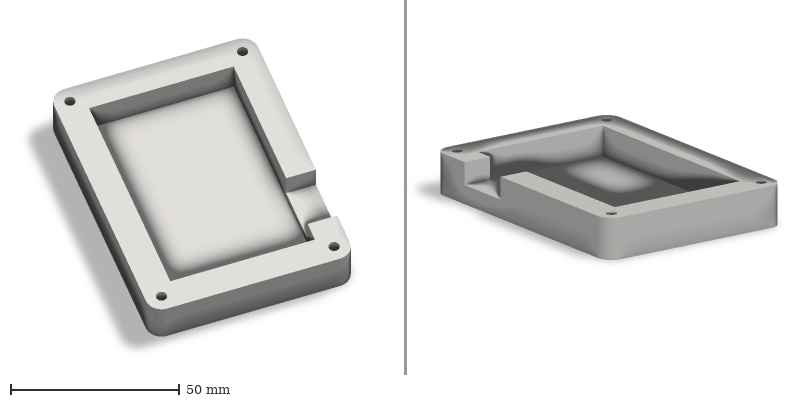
import cadquery as cq

length = 88.7
width = 64.6
height = 13.0
corner_radius = 5.0

wall = 9.4
floor_thickness = 3.5

notch_width = 18.45
notch_center_x = 19.4
notch_depth = 7.1

hole_diameter = 3.4


def make_body():
    block = cq.Workplane("XY").box(length, width, height, centered=(True, True, False))
    return block.edges("|Z").fillet(corner_radius)


def make_pocket():
    return (
        cq.Workplane("XY")
        .workplane(offset=floor_thickness)
        .rect(length - 2 * wall, width - 2 * wall)
        .extrude(height - floor_thickness)
    )


def make_notch():
    return (
        cq.Workplane("XY")
        .workplane(offset=height - notch_depth)
        .center(notch_center_x, (width - wall) / 2)
        .rect(notch_width, wall)
        .extrude(notch_depth)
    )


def make_corner_holes():
    return (
        cq.Workplane("XY")
        .rect(length - 2 * corner_radius, width - 2 * corner_radius, forConstruction=True)
        .vertices()
        .circle(hole_diameter / 2)
        .extrude(height)
    )


result = make_body().cut(make_pocket()).cut(make_notch()).cut(make_corner_holes())